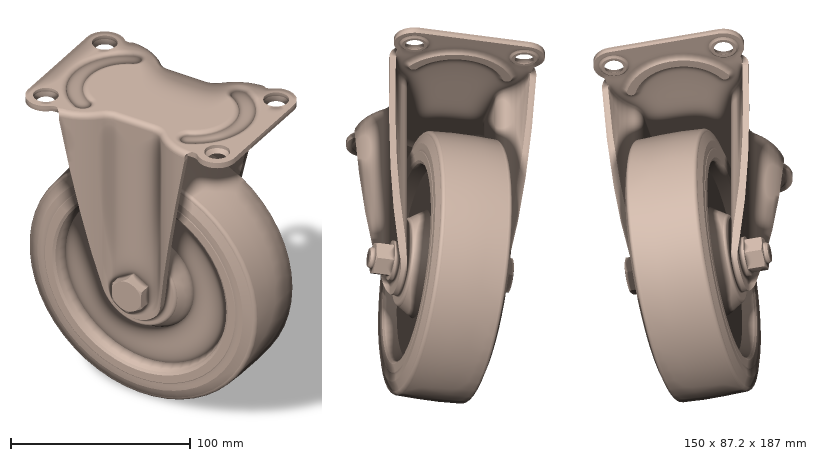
import cadquery as cq
import math


WHEEL_RADIUS = 75.0
WHEEL_WIDTH = 45.0
CROWN_EDGE_RADIUS = 74.4
CROWN_HALF_WIDTH = 18.0
SHOULDER_BULGE = 0.5
FLANK_OUTER_RADIUS = 72.3
FLANK_OUTER_HALF_WIDTH = 20.4
FLANK_INNER_RADIUS = 67.1
TREAD_INNER_RADIUS = 62.6
TREAD_STEP = 0.2

RIM_OUTER_RADIUS = 62.2
RIM_INNER_RADIUS = 57.4
RIM_EDGE_RADIUS = 55.9
RIM_EDGE_DROP = 1.0
WEB_RADIUS = 53.2
WEB_WIDTH = 30.0
HUB_ROOT_RADIUS = 30.6
HUB_RADIUS = 25.1
HUB_FACE_RADIUS = 23.4
HUB_WIDTH = 50.2
HUB_EDGE_DROP = 1.5

SHEET = 3.5
PLATE_TOP = 112.0
PLATE_UNDERSIDE = PLATE_TOP - SHEET
PLATE_LENGTH = 135.0
PLATE_WIDTH = 86.0
LOBE_RADIUS = 11.5
LOBE_X = PLATE_LENGTH / 2 - LOBE_RADIUS
LOBE_Y = PLATE_WIDTH / 2 - LOBE_RADIUS
NECK_WIDTH = 77.8
NECK_FILLET = 4.0

HOLE_RADIUS = 5.3
HOLE_MOUTH_RADIUS = 7.2
HOLE_MOUTH_DEPTH = 2.2
DIMPLE_TIP_RADIUS = 7.1
DIMPLE_BASE_RADIUS = 8.4
DIMPLE_HEIGHT = 1.0

GROOVE_DEPTH = 2.0
GROOVE_CENTRE_X = -21.4
GROOVE_PATH_RADIUS = 30.0
GROOVE_END_ANGLE = 63.7
GROOVE_MOUTH_HALF_WIDTH = 7.85
GROOVE_FLOOR_HALF_WIDTH = 4.4
RIDGE_BASE_HALF_WIDTH = 6.0
RIDGE_TIP_HALF_WIDTH = 2.5

LEG_FACE_Y = 28.9
LEG_FLAT_HALF_WIDTH = 12.3
BEND_RADIUS = 9.5
BEND_ANGLE = math.radians(46)
WING_RADIUS = 34.0
PLATE_BEND_RADIUS = 3.5
PLATE_BEND_INNER_RADIUS = 1.0

LEG_TIP_RADIUS = 19.1
LEG_HALF_WIDTH = 41.0
LEG_TAPER_TOP = PLATE_TOP - 5.5
LEG_FLARE_RADIUS = 3.4
LEG_TOP_HALF_WIDTH = LEG_HALF_WIDTH + LEG_FLARE_RADIUS

AXLE_RADIUS = 6.0
AXLE_END_Y = 44.15
AXLE_CHAMFER = 0.8
AXLE_CHAMFER_LENGTH = 1.3
HEAD_ACROSS_FLATS = 19.0
HEAD_HEIGHT = 8.1
NUT_ACROSS_FLATS = 17.0
NUT_HEIGHT = 10.0
NUT_FLANGE_RADIUS = 11.1
NUT_FLANGE_THICKNESS = 2.8
HEX_CHAMFER_LENGTH = 0.6

SIDES = (-1, 1)
CORNERS = [(x * LOBE_X, y * LOBE_Y) for x in SIDES for y in SIDES]


def build_wheel():
    """Wheel revolved about Y, with a bore that fits the axle."""
    rim_half = WHEEL_WIDTH / 2
    tread_half = rim_half - TREAD_STEP
    web_half = WEB_WIDTH / 2
    hub_half = HUB_WIDTH / 2
    shoulder = (
        (CROWN_EDGE_RADIUS + FLANK_OUTER_RADIUS) / 2 + SHOULDER_BULGE,
        (CROWN_HALF_WIDTH + FLANK_OUTER_HALF_WIDTH) / 2 + SHOULDER_BULGE,
    )
    flank_outer = (FLANK_OUTER_RADIUS, FLANK_OUTER_HALF_WIDTH)
    crown_edge = (CROWN_EDGE_RADIUS, CROWN_HALF_WIDTH)

    def mirrored(point):
        return point[0], -point[1]

    return (
        cq.Workplane("XY")
        .moveTo(AXLE_RADIUS, -hub_half)
        .lineTo(AXLE_RADIUS, hub_half)
        .lineTo(HUB_FACE_RADIUS, hub_half)
        .radiusArc((HUB_RADIUS, hub_half - HUB_EDGE_DROP), HUB_RADIUS - HUB_FACE_RADIUS)
        .lineTo(HUB_ROOT_RADIUS, web_half)
        .lineTo(WEB_RADIUS, web_half)
        .lineTo(RIM_EDGE_RADIUS, rim_half - RIM_EDGE_DROP)
        .lineTo(RIM_INNER_RADIUS, rim_half)
        .lineTo(RIM_OUTER_RADIUS, rim_half)
        .lineTo(TREAD_INNER_RADIUS, tread_half)
        .lineTo(FLANK_INNER_RADIUS, tread_half)
        .lineTo(*flank_outer)
        .threePointArc(shoulder, crown_edge)
        .threePointArc((WHEEL_RADIUS, 0), mirrored(crown_edge))
        .threePointArc(mirrored(shoulder), mirrored(flank_outer))
        .lineTo(FLANK_INNER_RADIUS, -tread_half)
        .lineTo(TREAD_INNER_RADIUS, -tread_half)
        .lineTo(RIM_OUTER_RADIUS, -rim_half)
        .lineTo(RIM_INNER_RADIUS, -rim_half)
        .lineTo(RIM_EDGE_RADIUS, RIM_EDGE_DROP - rim_half)
        .lineTo(WEB_RADIUS, -web_half)
        .lineTo(HUB_ROOT_RADIUS, -web_half)
        .lineTo(HUB_RADIUS, HUB_EDGE_DROP - hub_half)
        .radiusArc((HUB_FACE_RADIUS, -hub_half), HUB_RADIUS - HUB_FACE_RADIUS)
        .close()
        .revolve(360, (0, 0, 0), (0, 1, 0))
    )


def leg_plan(inset):
    """Closed plan outline along the outer faces of both legs, moved inwards by inset."""
    sine = math.sin(BEND_ANGLE)
    cosine = math.cos(BEND_ANGLE)
    flat_y = LEG_FACE_Y - inset
    bend_radius = BEND_RADIUS + inset
    bend_centre_y = LEG_FACE_Y + BEND_RADIUS
    wing_radius = WING_RADIUS - inset
    wing_centre_x = LEG_FLAT_HALF_WIDTH + (BEND_RADIUS + WING_RADIUS) * sine
    wing_centre_y = bend_centre_y - (BEND_RADIUS + WING_RADIUS) * cosine

    def bend_point(angle):
        x = LEG_FLAT_HALF_WIDTH + bend_radius * math.sin(angle)
        return x, bend_centre_y - bend_radius * math.cos(angle)

    def wing_point(x):
        return x, wing_centre_y + math.sqrt(wing_radius**2 - (wing_centre_x - x) ** 2)

    bend_end = bend_point(BEND_ANGLE)
    wing_middle = wing_point((bend_end[0] + LEG_TOP_HALF_WIDTH) / 2)
    return (
        cq.Workplane("XY", origin=(0, 0, -LEG_TIP_RADIUS))
        .moveTo(0, flat_y)
        .lineTo(LEG_FLAT_HALF_WIDTH, flat_y)
        .threePointArc(bend_point(BEND_ANGLE / 2), bend_end)
        .threePointArc(wing_middle, wing_point(LEG_TOP_HALF_WIDTH))
        .lineTo(LEG_TOP_HALF_WIDTH, 0)
        .mirrorY()
        .mirrorX()
    )


def leg_block(inset, top, bend_radius):
    """Solid on the leg plan from the leg tips up to top, rounded along both legs at the top."""
    block = leg_plan(inset).extrude(top + LEG_TIP_RADIUS)
    return block.faces(">Z").edges("not |Y").fillet(bend_radius)


def leg_silhouette():
    """Prism along Y whose tapered sides are tangent to the round leg tip."""
    corner_distance = math.hypot(LEG_HALF_WIDTH, LEG_TAPER_TOP)
    corner_angle = math.atan2(LEG_TAPER_TOP, LEG_HALF_WIDTH)
    tangent_angle = corner_angle - math.acos(LEG_TIP_RADIUS / corner_distance)
    tangent_x = LEG_TIP_RADIUS * math.cos(tangent_angle)
    tangent_z = LEG_TIP_RADIUS * math.sin(tangent_angle)
    flare_start_z = PLATE_TOP - LEG_FLARE_RADIUS
    return (
        cq.Workplane("XZ")
        .moveTo(LEG_TOP_HALF_WIDTH, PLATE_TOP)
        .radiusArc((LEG_HALF_WIDTH, flare_start_z), -LEG_FLARE_RADIUS)
        .lineTo(LEG_HALF_WIDTH, LEG_TAPER_TOP)
        .lineTo(tangent_x, tangent_z)
        .threePointArc((0, -LEG_TIP_RADIUS), (-tangent_x, tangent_z))
        .lineTo(-LEG_HALF_WIDTH, LEG_TAPER_TOP)
        .lineTo(-LEG_HALF_WIDTH, flare_start_z)
        .radiusArc((-LEG_TOP_HALF_WIDTH, PLATE_TOP), -LEG_FLARE_RADIUS)
        .close()
        .extrude(PLATE_WIDTH / 2, both=True)
    )


def bent_sheet():
    """Both legs and the middle of the plate between them, as one folded sheet."""
    outside = leg_block(0, PLATE_TOP, PLATE_BEND_RADIUS)
    inside = leg_block(SHEET, PLATE_UNDERSIDE, PLATE_BEND_INNER_RADIUS)
    return outside.cut(inside).intersect(leg_silhouette())


def plate_ends():
    """Flat plate ends with a round lobe at each corner, blended into the narrower neck."""
    plane = cq.Workplane("XY", origin=(0, 0, PLATE_UNDERSIDE))
    neck = plane.rect(2 * LOBE_X, NECK_WIDTH).extrude(SHEET)
    edges = plane.rect(PLATE_LENGTH, 2 * LOBE_Y).extrude(SHEET)
    lobes = plane.pushPoints(CORNERS).circle(LOBE_RADIUS).extrude(SHEET)
    plate = neck.union(edges).union(lobes)
    notch_zone = cq.selectors.BoxSelector(
        (-LOBE_X, -PLATE_WIDTH, 0), (LOBE_X, PLATE_WIDTH, 2 * PLATE_TOP)
    )
    plate = plate.edges("|Z").edges(notch_zone).fillet(NECK_FILLET)
    middle = plane.rect(2 * LEG_HALF_WIDTH, PLATE_WIDTH).extrude(SHEET)
    return plate.cut(middle)


def cone(point, bottom, bottom_radius, top, top_radius):
    """Upright frustum centred on point in plan."""
    return (
        cq.Workplane("XY", origin=(*point, bottom))
        .circle(bottom_radius)
        .workplane(offset=top - bottom)
        .circle(top_radius)
        .loft()
    )


def dimple(point):
    tip = PLATE_UNDERSIDE - DIMPLE_HEIGHT
    return cone(point, tip, DIMPLE_TIP_RADIUS, PLATE_UNDERSIDE, DIMPLE_BASE_RADIUS)


def mounting_hole(point):
    """Straight mouth above a cone that narrows to the underside of the dimple."""
    mouth_floor = PLATE_TOP - HOLE_MOUTH_DEPTH
    tip = PLATE_UNDERSIDE - DIMPLE_HEIGHT
    mouth = (
        cq.Workplane("XY", origin=(*point, mouth_floor))
        .circle(HOLE_MOUTH_RADIUS)
        .extrude(HOLE_MOUTH_DEPTH)
    )
    return mouth.union(cone(point, tip, HOLE_RADIUS, mouth_floor, HOLE_MOUTH_RADIUS))


def pressing(side, top, mouth_half_width, floor_half_width):
    """Arc-shaped solid with round ends, whose walls curve from a wide mouth to a flat floor."""
    reach = mouth_half_width - floor_half_width
    wall_radius = (reach**2 + GROOVE_DEPTH**2) / (2 * GROOVE_DEPTH)
    floor = top - GROOVE_DEPTH

    channel = (
        cq.Workplane("XZ")
        .moveTo(-GROOVE_PATH_RADIUS - mouth_half_width, top)
        .radiusArc((-GROOVE_PATH_RADIUS - floor_half_width, floor), wall_radius)
        .lineTo(-GROOVE_PATH_RADIUS + floor_half_width, floor)
        .radiusArc((-GROOVE_PATH_RADIUS + mouth_half_width, top), wall_radius)
        .close()
        .revolve(2 * GROOVE_END_ANGLE, (0, 0, 0), (0, 1, 0))
        .rotate((0, 0, 0), (0, 0, 1), -GROOVE_END_ANGLE)
        .translate((GROOVE_CENTRE_X, 0, 0))
    )
    round_end = (
        cq.Workplane("XZ")
        .moveTo(0, top)
        .lineTo(0, floor)
        .lineTo(floor_half_width, floor)
        .radiusArc((mouth_half_width, top), wall_radius)
        .close()
        .revolve(360, (0, 0, 0), (0, 1, 0))
    )
    end_angle = math.radians(GROOVE_END_ANGLE)
    end_x = GROOVE_CENTRE_X - GROOVE_PATH_RADIUS * math.cos(end_angle)
    end_y = GROOVE_PATH_RADIUS * math.sin(end_angle)
    for end in SIDES:
        channel = channel.union(round_end.translate((end_x, end * end_y, 0)))
    if side > 0:
        channel = channel.mirror("YZ")
    return channel


def build_fork():
    fork = bent_sheet().union(plate_ends())
    for side in SIDES:
        fork = fork.union(pressing(side, PLATE_UNDERSIDE, RIDGE_BASE_HALF_WIDTH, RIDGE_TIP_HALF_WIDTH))
    for corner in CORNERS:
        fork = fork.union(dimple(corner))
    for side in SIDES:
        fork = fork.cut(pressing(side, PLATE_TOP, GROOVE_MOUTH_HALF_WIDTH, GROOVE_FLOOR_HALF_WIDTH))
    for corner in CORNERS:
        fork = fork.cut(mounting_hole(corner))
    axle_holes = cq.Workplane("XZ").circle(AXLE_RADIUS).extrude(PLATE_WIDTH / 2, both=True)
    return fork.cut(axle_holes)


def hexagon(across_flats, height):
    """Hexagonal prism from y = 0 to y = height, corners up and down, chamfered at its far end."""
    across_corners = across_flats / math.cos(math.pi / 6)
    chamfer_width = (across_corners - across_flats) / 2
    plane = cq.Workplane("XZ").transformed(rotate=(0, 0, 30))
    prism = plane.polygon(6, across_corners).extrude(-height)
    blank = (
        cq.Workplane("XZ")
        .circle(across_corners / 2)
        .extrude(-height)
        .faces(">Y")
        .chamfer(HEX_CHAMFER_LENGTH, chamfer_width)
    )
    return prism.intersect(blank)


def build_axle():
    """Bolt head on the -Y leg, shank through the wheel, and flanged nut on the +Y leg."""
    shank = (
        cq.Workplane("XZ", origin=(0, -LEG_FACE_Y, 0))
        .circle(AXLE_RADIUS)
        .extrude(-(AXLE_END_Y + LEG_FACE_Y))
        .faces(">Y")
        .chamfer(AXLE_CHAMFER_LENGTH, AXLE_CHAMFER)
    )
    head = hexagon(HEAD_ACROSS_FLATS, HEAD_HEIGHT).mirror("XZ").translate((0, -LEG_FACE_Y, 0))
    flange = (
        cq.Workplane("XZ", origin=(0, LEG_FACE_Y, 0))
        .circle(NUT_FLANGE_RADIUS)
        .extrude(-NUT_FLANGE_THICKNESS)
    )
    nut = hexagon(NUT_ACROSS_FLATS, NUT_HEIGHT).translate((0, LEG_FACE_Y + NUT_FLANGE_THICKNESS, 0))
    return shank.union(head).union(flange).union(nut)


fork = build_fork()
wheel = build_wheel()
axle = build_axle()

result = cq.Compound.makeCompound([body.solids().val() for body in (fork, wheel, axle)])